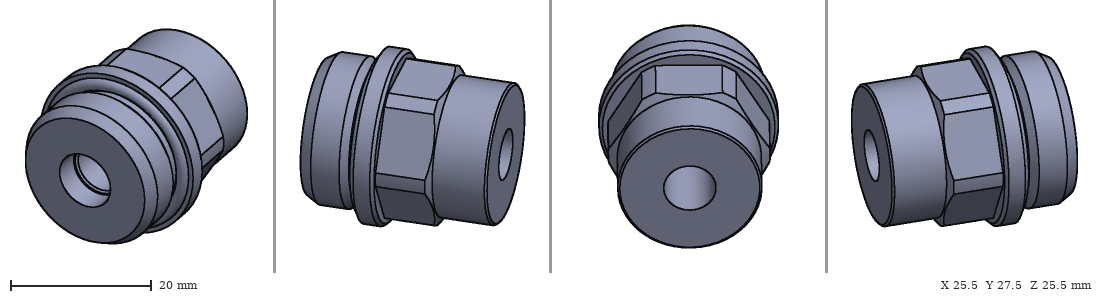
import cadquery as cq
import math

total_length = 27.5
front_chamfer_length = 1.82
neck_chamfer_start = 6.0
flange_front = 8.55
flange_back = 11.5
hex_back = 19.5

front_face_diameter = 19.9
thread_diameter = 22.0
neck_diameter = 19.8
flange_diameter = 25.5
tail_diameter = 20.5

flange_chamfer = 0.5
tail_chamfer = 0.3

hex_sides = 6
hex_across_flats = 20.95
hex_corner_diameter = 23.0
hex_chamfer_angle = 30.0

ring_outer_diameter = 23.98
ring_section_diameter = 1.87

counterbore_diameter = 8.5
counterbore_depth = 3.8
cone_mouth_diameter = 8.03
bore_diameter = 7.4
cone_angle = 45.0


def revolve_about_y(points):
    """Turn a closed (radius, y) outline around the Y axis."""
    return cq.Workplane("XY").polyline(points).close().revolve(360, (0, 0, 0), (0, 1, 0))


def make_front_spigot():
    """Front cylinder with a tapered nose, narrowing to a neck ahead of the flange."""
    thread_radius = thread_diameter / 2
    neck_radius = neck_diameter / 2
    neck_start = neck_chamfer_start + thread_radius - neck_radius
    return revolve_about_y([
        (0, 0),
        (front_face_diameter / 2, 0),
        (thread_radius, front_chamfer_length),
        (thread_radius, neck_chamfer_start),
        (neck_radius, neck_start),
        (neck_radius, flange_front),
        (0, flange_front),
    ])


def make_flange():
    """Round flange with its back rim chamfered."""
    radius = flange_diameter / 2
    return revolve_about_y([
        (0, flange_front),
        (radius, flange_front),
        (radius, flange_back - flange_chamfer),
        (radius - flange_chamfer, flange_back),
        (0, flange_back),
    ])


def make_hexagon():
    """Hexagon with flats facing +Z and -Z, turned corners and a conical back edge."""
    point_to_point = hex_across_flats / math.cos(math.pi / hex_sides)
    prism = (
        cq.Workplane("XZ", origin=(0, flange_back, 0))
        .polygon(hex_sides, point_to_point)
        .extrude(flange_back - hex_back)
    )
    corner_radius = hex_corner_diameter / 2
    tail_radius = tail_diameter / 2
    chamfer_length = (corner_radius - tail_radius) * math.tan(math.radians(hex_chamfer_angle))
    envelope = revolve_about_y([
        (0, flange_back),
        (corner_radius, flange_back),
        (corner_radius, hex_back - chamfer_length),
        (tail_radius, hex_back),
        (0, hex_back),
    ])
    return prism.intersect(envelope)


def make_tail():
    """Plain back cylinder with a chamfered end."""
    radius = tail_diameter / 2
    return revolve_about_y([
        (0, hex_back),
        (radius, hex_back),
        (radius, total_length - tail_chamfer),
        (radius - tail_chamfer, total_length),
        (0, total_length),
    ])


def make_sealing_ring():
    """Round-section ring, centred on the flange face and half sunk into it."""
    section_radius = ring_section_diameter / 2
    centre_radius = ring_outer_diameter / 2 - section_radius
    return (
        cq.Workplane("XY")
        .center(centre_radius, flange_front)
        .circle(section_radius)
        .revolve(360, (-centre_radius, 0, 0), (-centre_radius, 1, 0))
    )


def make_bore():
    """Front counterbore with a narrow shoulder, a conical lead-in and the through hole."""
    cone_radius = cone_mouth_diameter / 2
    bore_radius = bore_diameter / 2
    cone_length = (cone_radius - bore_radius) / math.tan(math.radians(cone_angle))
    return revolve_about_y([
        (0, 0),
        (counterbore_diameter / 2, 0),
        (counterbore_diameter / 2, counterbore_depth),
        (cone_radius, counterbore_depth),
        (bore_radius, counterbore_depth + cone_length),
        (bore_radius, total_length),
        (0, total_length),
    ])


result = (
    make_front_spigot()
    .union(make_flange())
    .union(make_hexagon())
    .union(make_tail())
    .union(make_sealing_ring())
    .cut(make_bore())
)